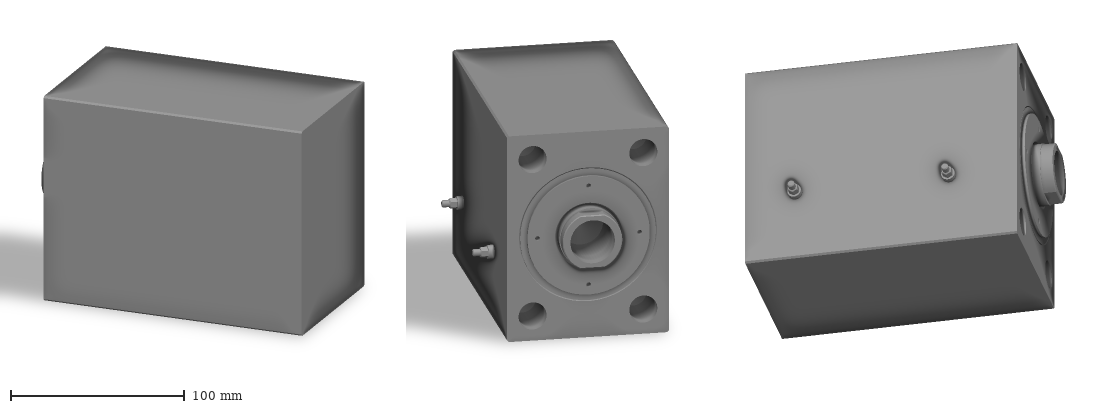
import cadquery as cq
import math


HOUSING_LENGTH = 161.0
HOUSING_WIDTH = 95.0
HOUSING_HEIGHT = 125.0
EDGE_CHAMFER = 1.0

MOUNT_HOLE_DIAMETER = 16.5
MOUNT_HOLE_DEPTH = 31.5
MOUNT_SPACING_Y = 65.1
MOUNT_SPACING_Z = 95.0
DRILL_POINT_ANGLE = 118.0

GLAND_DIAMETER = 79.8
GLAND_DEPTH = 52.5
BORE_CHAMFER = 0.7
BOSS_DIAMETER = 72.0
BOSS_HEIGHT = 2.0
WIPER_CHAMFER = 1.4
WIPER_SEAT_DIAMETER = 36.8
SPANNER_HOLE_COUNT = 4
SPANNER_HOLE_DIAMETER = 2.8
SPANNER_HOLE_DEPTH = 5.2
SPANNER_CIRCLE_DIAMETER = 60.0

ROD_DIAMETER = 36.0
ROD_PROTRUSION = 14.0
ROD_NOSE_DIAMETER = 35.0
ROD_NOSE_LENGTH = 7.4
ROD_NOSE_CHAMFER = 0.5
ROD_FLATS_WIDTH = 32.0
ROD_HOLE_DIAMETER = 26.0
ROD_HOLE_DEPTH = 35.0

FITTING_POSITIONS_X = (40.0, 131.0)
FITTING_Z = -20.5
COLLAR_DIAMETER = 8.0
COLLAR_HEIGHT = 3.7
HEX_ACROSS_FLATS = 5.6
HEX_HEIGHT = 4.4
HEX_CHAMFER = 0.7
TIP_DIAMETER = 4.2
TIP_HEIGHT = 4.4
TIP_CHAMFER = 0.5


def cylinder_along_x(diameter, start_x, end_x):
    """Cylinder on the X axis between two X positions."""
    return cq.Workplane("YZ", origin=(start_x, 0, 0)).circle(diameter / 2).extrude(end_x - start_x)


def cone_along_x(start_diameter, end_diameter, start_x, end_x):
    """Truncated cone on the X axis between two X positions."""
    profile = [(start_x, 0), (start_x, start_diameter / 2), (end_x, end_diameter / 2), (end_x, 0)]
    return cq.Workplane("XY").polyline(profile).close().revolve(360, (0, 0, 0), (1, 0, 0))


def drilled_hole(diameter, depth, x, y=0, z=0):
    """Cutter for a blind hole drilled toward +X, with a conical bottom beyond its full-width depth."""
    radius = diameter / 2
    point_length = radius / math.tan(math.radians(DRILL_POINT_ANGLE / 2))
    profile = [(0, 0), (0, radius), (depth, radius), (depth + point_length, 0)]
    cutter = cq.Workplane("XY").polyline(profile).close().revolve(360, (0, 0, 0), (1, 0, 0))
    return cutter.translate((x, y, z))


def make_housing():
    """Block with chamfered long edges, a bore for the gland and four mounting holes."""
    body = cq.Workplane("XY").box(
        HOUSING_LENGTH, HOUSING_WIDTH, HOUSING_HEIGHT, centered=(False, True, True)
    )
    body = body.edges("|X").chamfer(EDGE_CHAMFER)
    body = body.cut(cylinder_along_x(GLAND_DIAMETER, 0, GLAND_DEPTH))
    bore_mouth = GLAND_DIAMETER + 2 * BORE_CHAMFER
    body = body.cut(cone_along_x(bore_mouth, GLAND_DIAMETER, 0, BORE_CHAMFER))
    for side_y in (-1, 1):
        for side_z in (-1, 1):
            hole_y = side_y * MOUNT_SPACING_Y / 2
            hole_z = side_z * MOUNT_SPACING_Z / 2
            body = body.cut(drilled_hole(MOUNT_HOLE_DIAMETER, MOUNT_HOLE_DEPTH, 0, hole_y, hole_z))
    return body


def make_gland():
    """Stepped bush with a chamfered wiper seat round the rod and spanner holes around it."""
    body = cylinder_along_x(GLAND_DIAMETER, 0, GLAND_DEPTH)
    body = body.union(cylinder_along_x(BOSS_DIAMETER, -BOSS_HEIGHT, 0))
    body = body.cut(cylinder_along_x(ROD_DIAMETER, -BOSS_HEIGHT, GLAND_DEPTH))
    body = body.cut(cylinder_along_x(WIPER_SEAT_DIAMETER, -BOSS_HEIGHT, 0))
    seat_mouth = WIPER_SEAT_DIAMETER + 2 * WIPER_CHAMFER
    chamfer_end = WIPER_CHAMFER - BOSS_HEIGHT
    body = body.cut(cone_along_x(seat_mouth, WIPER_SEAT_DIAMETER, -BOSS_HEIGHT, chamfer_end))
    for index in range(SPANNER_HOLE_COUNT):
        angle = 2 * math.pi * index / SPANNER_HOLE_COUNT
        hole_y = SPANNER_CIRCLE_DIAMETER / 2 * math.cos(angle)
        hole_z = SPANNER_CIRCLE_DIAMETER / 2 * math.sin(angle)
        body = body.cut(
            drilled_hole(SPANNER_HOLE_DIAMETER, SPANNER_HOLE_DEPTH, -BOSS_HEIGHT, hole_y, hole_z)
        )
    return body


def make_piston_rod():
    """Rod with a reduced nose that has two wrench flats and a blind hole in its end."""
    nose_end = ROD_NOSE_LENGTH - ROD_PROTRUSION
    nose = cylinder_along_x(ROD_NOSE_DIAMETER, -ROD_PROTRUSION, nose_end)
    flats = cq.Workplane("XY").box(
        ROD_NOSE_LENGTH, ROD_NOSE_DIAMETER, ROD_FLATS_WIDTH, centered=(False, True, True)
    )
    nose = nose.intersect(flats.translate((-ROD_PROTRUSION, 0, 0)))
    nose = nose.faces("<X").chamfer(ROD_NOSE_CHAMFER)
    body = cylinder_along_x(ROD_DIAMETER, nose_end, GLAND_DEPTH).union(nose)
    return body.cut(drilled_hole(ROD_HOLE_DIAMETER, ROD_HOLE_DEPTH, -ROD_PROTRUSION))


def make_fitting(x):
    """Round collar, hexagon with a chamfered top and round tip, standing on the +Y face."""
    across_corners = HEX_ACROSS_FLATS / math.cos(math.pi / 6)
    hex_base = COLLAR_HEIGHT
    hex_top = hex_base + HEX_HEIGHT
    collar = cq.Workplane("XY").circle(COLLAR_DIAMETER / 2).extrude(COLLAR_HEIGHT)
    hexagon = cq.Workplane("XY", origin=(0, 0, hex_base)).polygon(6, across_corners).extrude(HEX_HEIGHT)
    hex_limit = cq.Workplane("XY", origin=(0, 0, hex_base)).circle(across_corners / 2).extrude(HEX_HEIGHT)
    hexagon = hexagon.intersect(hex_limit.faces(">Z").chamfer(HEX_CHAMFER))
    tip = cq.Workplane("XY", origin=(0, 0, hex_top)).circle(TIP_DIAMETER / 2).extrude(TIP_HEIGHT)
    tip = tip.faces(">Z").chamfer(TIP_CHAMFER)
    body = collar.union(hexagon).union(tip)
    body = body.rotate((0, 0, 0), (0, 0, 1), 90).rotate((0, 0, 0), (1, 0, 0), -90)
    return body.translate((x, HOUSING_WIDTH / 2, FITTING_Z))


housing = make_housing()
gland = make_gland()
piston_rod = make_piston_rod()
fittings = [make_fitting(x) for x in FITTING_POSITIONS_X]

result = cq.Compound.makeCompound(
    [housing.val(), gland.val(), piston_rod.val(), *[fitting.val() for fitting in fittings]]
)